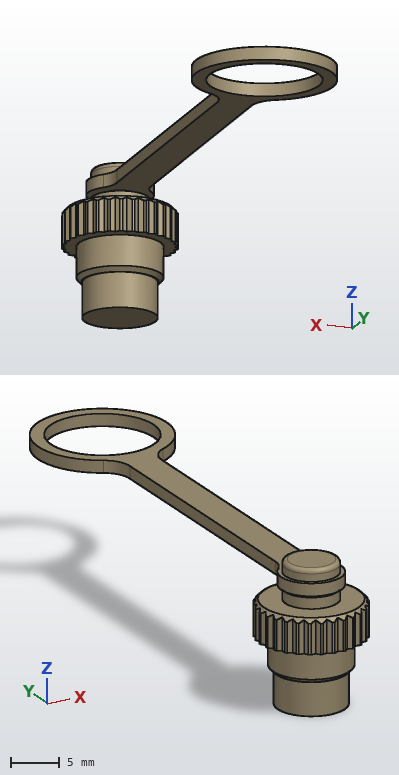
import cadquery as cq
import math

plug_top = 3.8
knurl_bottom = 7.6
knurl_top = 11.5
collar_top = 12.75
strap_bottom = 13.1
strap_thickness = 1.4
total_height = 15.9
strap_top = strap_bottom + strap_thickness

plug_diameter = 7.8
body_diameter = 9.0
knurl_diameter = 12.0
collar_diameter = 6.0
neck_diameter = 4.0

body_chamfer = 0.5
knurl_chamfer = 0.5
head_fillet = 0.5

groove_count = 30
groove_depth = 0.3
tip_width = 0.27
groove_overrun = 2.0

ring_outer_diameter = 15.0
ring_inner_diameter = 12.0
ring_distance = 45.0
ring_side_shift = 0.04
strap_width = 3.75
eye_diameter = 7.0
strap_blend_radius = 3.0


def cylinder(diameter, bottom, top):
    """Solid cylinder on the Z axis between two heights."""
    return cq.Workplane("XY").workplane(offset=bottom).circle(diameter / 2).extrude(top - bottom)


def make_plug_and_body():
    """Lower plug and the wider body above it, chamfered at its lower edge."""
    plug = cylinder(plug_diameter, 0, plug_top)
    body = cylinder(body_diameter, plug_top, knurl_bottom)
    body = body.faces("<Z").edges().chamfer(body_chamfer)
    return plug.union(body)


def make_knurl():
    """Grip disc with a chamfered top edge and V grooves all round, a tooth centred on +X."""
    radius = knurl_diameter / 2
    disc = cylinder(knurl_diameter, knurl_bottom, knurl_top)
    disc = disc.faces(">Z").edges().chamfer(knurl_chamfer)

    pitch_angle = 360 / groove_count
    tip_half_angle = math.asin(tip_width / knurl_diameter)
    groove_half_angle = math.radians(pitch_angle / 2) - tip_half_angle
    rim_x = radius * math.cos(groove_half_angle)
    rim_y = radius * math.sin(groove_half_angle)
    root_x = radius - groove_depth
    outer_x = root_x + groove_overrun * (rim_x - root_x)
    outer_y = groove_overrun * rim_y
    groove = (
        cq.Workplane("XY")
        .workplane(offset=knurl_bottom)
        .moveTo(root_x, 0)
        .lineTo(outer_x, -outer_y)
        .lineTo(outer_x, outer_y)
        .close()
        .extrude(knurl_top - knurl_bottom)
    )
    for index in range(groove_count):
        angle = (index + 0.5) * pitch_angle
        disc = disc.cut(groove.rotate((0, 0, 0), (0, 0, 1), angle))
    return disc


def make_button():
    """Collar, narrow neck through the strap eye, and rounded retaining head."""
    collar = cylinder(collar_diameter, knurl_top, collar_top)
    neck = cylinder(neck_diameter, collar_top, strap_top)
    head = cylinder(collar_diameter, strap_top, total_height)
    head = head.faces(">Z").edges().fillet(head_fillet)
    return collar.union(neck).union(head)


def blend_points(disc_radius):
    """Tangent points of the blend arc between a disc and the strap edge, and the arc's midpoint.

    Each point is (sideways, along) measured from the disc centre.
    """
    center_x = strap_width / 2 + strap_blend_radius
    center_distance = disc_radius + strap_blend_radius
    center_y = math.sqrt(center_distance**2 - center_x**2)
    on_disc = (center_x * disc_radius / center_distance, center_y * disc_radius / center_distance)
    on_edge = (strap_width / 2, center_y)
    edge_angle = math.pi
    disc_angle = math.pi + math.atan2(center_y, center_x)
    mid_angle = (edge_angle + disc_angle) / 2
    middle = (
        center_x + strap_blend_radius * math.cos(mid_angle),
        center_y + strap_blend_radius * math.sin(mid_angle),
    )
    return on_disc, middle, on_edge


def make_strap():
    """Flat strap joining the eye around the button to the large open ring."""
    eye_radius = eye_diameter / 2
    ring_radius = ring_outer_diameter / 2
    eye_disc, eye_mid, eye_edge = blend_points(eye_radius)
    ring_disc, ring_mid, ring_edge = blend_points(ring_radius)

    def from_ring(point, side):
        return (side * point[0], ring_distance - point[1])

    def from_eye(point, side):
        return (side * point[0], point[1])

    outline = (
        cq.Workplane("XY")
        .workplane(offset=strap_bottom)
        .moveTo(*from_eye(eye_disc, -1))
        .threePointArc((0, -eye_radius), from_eye(eye_disc, 1))
        .threePointArc(from_eye(eye_mid, 1), from_eye(eye_edge, 1))
        .lineTo(*from_ring(ring_edge, 1))
        .threePointArc(from_ring(ring_mid, 1), from_ring(ring_disc, 1))
        .threePointArc((0, ring_distance + ring_radius), from_ring(ring_disc, -1))
        .threePointArc(from_ring(ring_mid, -1), from_ring(ring_edge, -1))
        .lineTo(*from_eye(eye_edge, -1))
        .threePointArc(from_eye(eye_mid, -1), from_eye(eye_disc, -1))
        .close()
    )
    strap = outline.extrude(strap_thickness)
    opening = cylinder(ring_inner_diameter, strap_bottom, strap_top).translate((0, ring_distance, 0))
    lean_angle = math.degrees(math.asin(ring_side_shift / ring_distance))
    return strap.cut(opening).rotate((0, 0, 0), (0, 0, 1), lean_angle)


result = make_plug_and_body().union(make_knurl()).union(make_button()).union(make_strap())